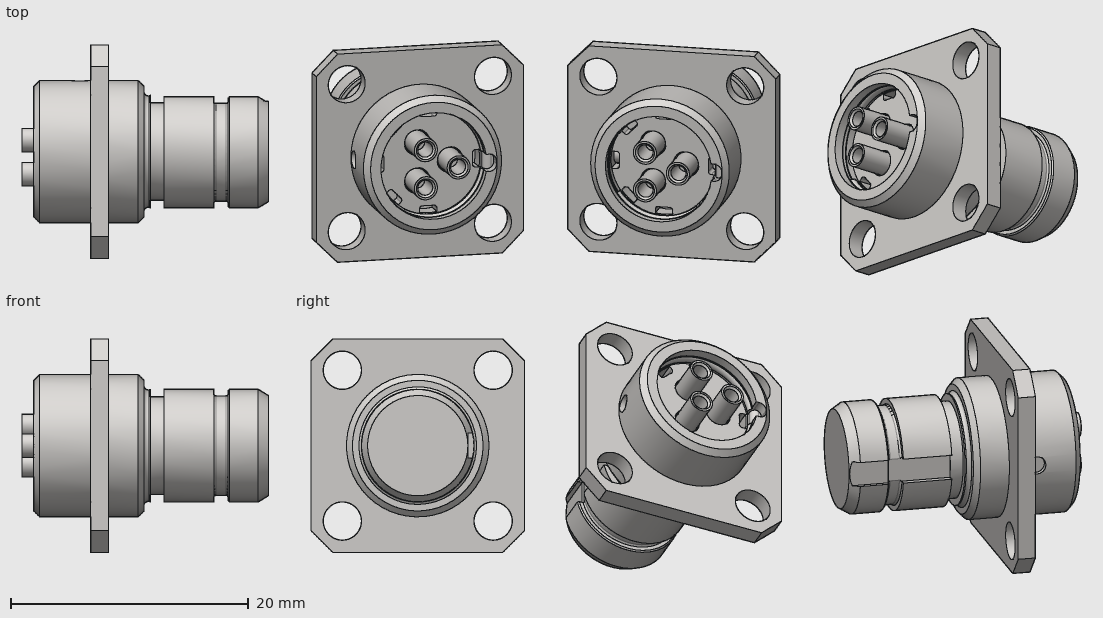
import cadquery as cq
import math

rim_x = 1.0
flange_x = 5.8
flange_thickness = 1.5
body_end_x = 10.3
step_waist_x = 10.7
step_end_x = 10.83
sleeve_x = 11.95
groove_x = 16.16
collar_x = 17.37
end_chamfer_x = 19.9
end_x = 20.78

body_radius = 6.0
body_chamfer = 0.5
step_root_radius = 4.95
step_waist_radius = 4.7
step_fillet = 0.4
sleeve_radius = 4.75
neck_radius = 4.12
groove_radius = 4.2
groove_fillet = 0.2
groove_wall_radius = groove_radius + groove_fillet / 2
collar_chamfer = 0.12
end_radius = 4.22

flange_width = 18.0
flange_corner = 1.85
mount_hole_diameter = 3.2
mount_hole_offset = 6.35

cavity_radius = 4.6
wall_groove_x = 1.9
wall_groove_radius = 4.65
cavity_step_x = 2.25
cavity_step_radius = 4.57
insert_face_x = 2.95

ring_inner_radius = 4.47
ring_section_radius = 0.5
ring_half_gap_angle = 34

notch_angles = (45, 90, 180, 270, 315)
pin_angle = 0
notch_width = 1.5
notch_inner_radius = 3.85
notch_outer_radius = 4.47
pin_notch_outer_radius = 4.62
notch_depth = 1.6
notch_corner = 0.25

key_reach = 5.45
key_corner = 0.65
key_floor_x = 2.0
key_lip_radius = 0.6

pin_x = 4.88
pin_radius = notch_width / 2
pin_inner_y = 4.0
pin_outer_y = 5.5

slot_width = 2.12
slot_floor_y = 4.09
collar_slot_floor_y = 4.25

contact_count = 3
contact_circle_radius = 1.9
contact_radius = 1.0
contact_clearance = 0.1
clearance_depth = 0.3
bore_radius = 0.65
bore_mouth_radius = 0.82
bore_mouth_depth = 0.2
bore_depth = 3.0


def cylinder_x(radius, start, length):
    return cq.Workplane("YZ").workplane(offset=start).circle(radius).extrude(length)


def box_between(x0, x1, y0, y1, width_z):
    box = cq.Workplane("XY").box(x1 - x0, y1 - y0, width_z, centered=(False, False, True))
    return box.translate((x0, y0, 0))


def turned_shell():
    outline = (
        cq.Workplane("XY")
        .moveTo(rim_x, 0)
        .lineTo(rim_x, body_radius - body_chamfer)
        .lineTo(rim_x + body_chamfer, body_radius)
        .lineTo(body_end_x - body_chamfer, body_radius)
        .lineTo(body_end_x, body_radius - body_chamfer)
        .lineTo(body_end_x, step_root_radius)
        .radiusArc((step_waist_x, step_waist_radius), -step_fillet)
        .lineTo(step_end_x, sleeve_radius)
        .lineTo(step_end_x, neck_radius)
        .lineTo(sleeve_x, neck_radius)
        .lineTo(sleeve_x, sleeve_radius)
        .lineTo(groove_x, sleeve_radius)
        .lineTo(groove_x, groove_wall_radius)
        .radiusArc((groove_x + groove_fillet, groove_radius), -groove_fillet)
        .lineTo(collar_x - groove_fillet, groove_radius)
        .radiusArc((collar_x, groove_wall_radius), -groove_fillet)
        .lineTo(collar_x, sleeve_radius - collar_chamfer)
        .lineTo(collar_x + collar_chamfer, sleeve_radius)
        .lineTo(end_chamfer_x, sleeve_radius)
        .lineTo(end_x, end_radius)
        .lineTo(end_x, 0)
        .close()
    )
    return outline.revolve(360, (0, 0, 0), (1, 0, 0))


def flange():
    plate = (
        cq.Workplane("YZ")
        .workplane(offset=flange_x)
        .rect(flange_width, flange_width)
        .extrude(flange_thickness)
        .edges("|X")
        .chamfer(flange_corner)
    )
    pitch = 2 * mount_hole_offset
    hole_centers = plate.faces("<X").workplane().rect(pitch, pitch, forConstruction=True).vertices()
    return hole_centers.hole(mount_hole_diameter)


def cavity():
    mouth = cylinder_x(cavity_radius, rim_x, cavity_step_x - rim_x)
    wall_groove = cylinder_x(wall_groove_radius, wall_groove_x, cavity_step_x - wall_groove_x)
    inner = cylinder_x(cavity_step_radius, cavity_step_x, insert_face_x - cavity_step_x)
    return mouth.union(wall_groove).union(inner)


def retaining_ring():
    center_x = insert_face_x - ring_section_radius
    center_radius = ring_inner_radius + ring_section_radius
    section = cq.Workplane("XY").center(center_x, center_radius).circle(ring_section_radius)
    ring = section.revolve(360 - 2 * ring_half_gap_angle, (0, -center_radius, 0), (1, -center_radius, 0))
    return ring.rotate((0, 0, 0), (1, 0, 0), ring_half_gap_angle)


def notch(angle, outer_radius):
    blank = box_between(
        insert_face_x, insert_face_x + notch_depth, notch_inner_radius, body_radius, notch_width
    )
    rounded = blank.edges("|X and <Y").fillet(notch_corner)
    trimmed = rounded.intersect(cylinder_x(outer_radius, insert_face_x, notch_depth))
    return trimmed.rotate((0, 0, 0), (1, 0, 0), angle)


def keyway():
    slot = box_between(rim_x, insert_face_x, -key_reach, -notch_inner_radius, notch_width)
    slot = slot.edges("|X and <Y").fillet(key_corner)
    lip_edge_y = -cavity_radius
    floor = box_between(key_floor_x, insert_face_x, -body_radius, lip_edge_y, 2 * notch_width)
    floor = floor.edges("|Z and <X and >Y").fillet(key_lip_radius)
    return slot.cut(floor)


def pin_segment(inner_y, outer_y):
    pin = cq.Workplane("XZ").center(pin_x, 0).circle(pin_radius).extrude(inner_y - outer_y)
    return pin.translate((0, inner_y, 0))


def rear_slot():
    along_sleeve = box_between(sleeve_x, collar_x, slot_floor_y, body_radius, slot_width)
    along_collar = box_between(collar_x, end_x, collar_slot_floor_y, body_radius, slot_width)
    return along_sleeve.union(along_collar)


def contact_positions():
    positions = []
    for index in range(contact_count):
        angle = math.pi + index * 2 * math.pi / contact_count
        y = contact_circle_radius * math.cos(angle)
        z = contact_circle_radius * math.sin(angle)
        positions.append((y, z))
    return positions


def contact():
    root_x = insert_face_x + clearance_depth
    mouth = (
        cq.Workplane("XY")
        .polyline([(0, 0), (0, bore_mouth_radius), (bore_mouth_depth, bore_radius), (bore_mouth_depth, 0)])
        .close()
        .revolve(360, (0, 0, 0), (1, 0, 0))
    )
    barrel = cylinder_x(contact_radius, 0, root_x)
    return barrel.cut(cylinder_x(bore_radius, 0, bore_depth)).cut(mouth)


def cut_notches(part):
    for angle in notch_angles:
        part = part.cut(notch(angle, notch_outer_radius))
    return part.cut(notch(pin_angle, pin_notch_outer_radius))


def add_locking_pin(part):
    recess = pin_segment(pin_outer_y, body_radius)
    return part.cut(recess).union(pin_segment(pin_inner_y, pin_outer_y))


def add_contacts(part):
    clearance = cylinder_x(contact_radius + contact_clearance, insert_face_x, clearance_depth)
    for y, z in contact_positions():
        part = part.cut(clearance.translate((0, y, z))).union(contact().translate((0, y, z)))
    return part


body = turned_shell().union(flange())
body = body.cut(cavity()).union(retaining_ring())
body = body.cut(keyway())
body = cut_notches(body)
body = add_locking_pin(body)
body = body.cut(rear_slot())
result = add_contacts(body)